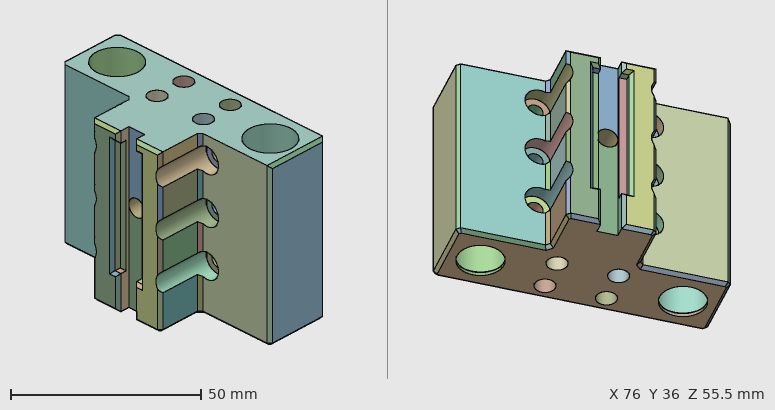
import cadquery as cq

WIDTH = 76.0
DEPTH = 36.0
HEIGHT = 55.5
TONGUE_WIDTH = 25.0
TONGUE_DEPTH = 15.05
EDGE = 1.0

SLOT_WIDTH = 5.8
SLOT_DEPTH = 4.0
POCKET_WIDTH = 10.0
POCKET_LENGTH = 40.0
POCKET_DEPTH = 3.0

MIDDLE_ROW_HEIGHT = 31.7
ROW_PITCH = 16.2
BOLT_SPACING = 30.1
BOLT_DIAMETER = 4.3
COUNTERBORE_DIAMETER = 8.3
COUNTERBORE_DEPTH = 4.0
CENTRE_HOLE_DIAMETER = 5.8

BORE_SPACING = 56.1
BORE_FROM_BACK = 10.5
BORE_DIAMETER = 15.0
LIP_DIAMETER = 13.0
LIP_LAND = 1.0
PIN_DIAMETER = 5.8
PIN_SPACING = 17.0
PIN_ROWS_FROM_BACK = (5.5, 15.6)

HALF_WIDTH = WIDTH / 2
HALF_TONGUE = TONGUE_WIDTH / 2
HALF_SLOT = SLOT_WIDTH / 2


def make_body():
    """T-shaped prism with bevelled corners, underside rim and two upper edges."""
    right_half = [
        (HALF_TONGUE - EDGE, 0),
        (HALF_TONGUE, EDGE),
        (HALF_TONGUE, TONGUE_DEPTH - EDGE),
        (HALF_TONGUE + EDGE, TONGUE_DEPTH),
        (HALF_WIDTH - EDGE, TONGUE_DEPTH),
        (HALF_WIDTH, TONGUE_DEPTH + EDGE),
        (HALF_WIDTH, DEPTH - EDGE),
        (HALF_WIDTH - EDGE, DEPTH),
    ]
    left_half = [(-x, y) for x, y in reversed(right_half)]
    body = cq.Workplane("XY").polyline(right_half + left_half).close().extrude(HEIGHT)
    body = body.faces("<Z").edges().chamfer(EDGE)
    body = body.faces(">Z").edges("<Y").chamfer(EDGE)
    return body.faces(">Z").edges(">X").chamfer(EDGE)


def make_slot():
    """Full-height slot with a flared mouth."""
    right_half = [(HALF_SLOT + EDGE, 0), (HALF_SLOT, EDGE), (HALF_SLOT, SLOT_DEPTH)]
    left_half = [(-x, y) for x, y in reversed(right_half)]
    return cq.Workplane("XY").polyline(right_half + left_half).close().extrude(HEIGHT)


def make_pocket():
    """Rectangular pocket with a flared mouth, centred on the middle bolt row."""
    plane = cq.Workplane("ZX", origin=(0, 0, MIDDLE_ROW_HEIGHT))
    mouth = plane.rect(POCKET_LENGTH + 2 * EDGE, POCKET_WIDTH + 2 * EDGE).extrude(EDGE, taper=45)
    return mouth.union(plane.rect(POCKET_LENGTH, POCKET_WIDTH).extrude(POCKET_DEPTH))


def make_cross_holes():
    """Centre hole and two columns of counterbored bolt holes, all running along Y."""
    plane = cq.Workplane("ZX", origin=(0, 0, MIDDLE_ROW_HEIGHT))
    bolts = plane.rarray(ROW_PITCH, BOLT_SPACING, 3, 2)
    holes = bolts.circle(BOLT_DIAMETER / 2).extrude(DEPTH)
    counterbores = bolts.circle(COUNTERBORE_DIAMETER / 2).extrude(TONGUE_DEPTH + COUNTERBORE_DEPTH)
    centre_hole = plane.circle(CENTRE_HOLE_DIAMETER / 2).extrude(DEPTH)
    return holes.union(counterbores).union(centre_hole)


def make_bore(x):
    """Guide bore open at the top, narrowing over a conical seat to a lip at the underside."""
    bore_radius = BORE_DIAMETER / 2
    lip_radius = LIP_DIAMETER / 2
    seat_top = LIP_LAND + bore_radius - lip_radius
    profile = [
        (0, 0),
        (lip_radius, 0),
        (lip_radius, LIP_LAND),
        (bore_radius, seat_top),
        (bore_radius, HEIGHT),
        (0, HEIGHT),
    ]
    bore = cq.Workplane("XZ").polyline(profile).close().revolve(360, (0, 0), (0, 1))
    return bore.translate((x, DEPTH - BORE_FROM_BACK, 0))


def make_pin_holes():
    """Four plain through holes between the bores."""
    centres = [
        (side * PIN_SPACING / 2, DEPTH - from_back)
        for side in (-1, 1)
        for from_back in PIN_ROWS_FROM_BACK
    ]
    return cq.Workplane("XY").pushPoints(centres).circle(PIN_DIAMETER / 2).extrude(HEIGHT)


result = make_body().cut(make_slot()).cut(make_pocket()).cut(make_cross_holes()).cut(make_pin_holes())
for side in (-1, 1):
    result = result.cut(make_bore(side * BORE_SPACING / 2))